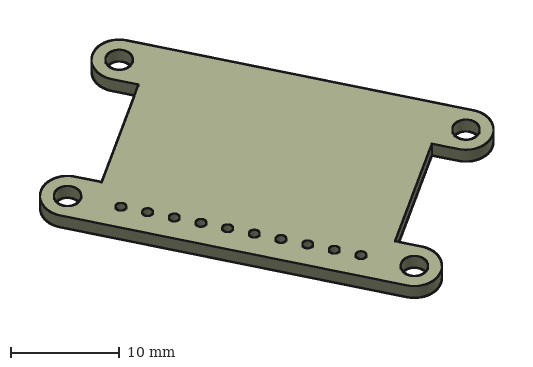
import cadquery as cq

length = 38.1
width = 22.85
thickness = 1.6

grid_pitch = length / 15

lug_radius = grid_pitch
lug_x = length / 2 - lug_radius
lug_y = width / 2 - lug_radius
mounting_hole_diameter = 2.5

panel_length = length - 4 * lug_radius

pin_count = 10
pin_hole_diameter = 1.0


def edge_strip(y):
    """Full-length strip with round ends, centred on the given Y."""
    return cq.Workplane("XY").center(0, y).slot2D(length, 2 * lug_radius).extrude(thickness)


def through_holes(points, diameter):
    """Cylinders that cut holes through the board at the given points."""
    return cq.Workplane("XY").pushPoints(points).circle(diameter / 2).extrude(thickness)


board = cq.Workplane("XY").rect(panel_length, width).extrude(thickness)
for strip_y in (-lug_y, lug_y):
    board = board.union(edge_strip(strip_y))
board = board.clean()

mounting_points = [(x, y) for x in (-lug_x, lug_x) for y in (-lug_y, lug_y)]
first_pin_x = -(pin_count - 1) * grid_pitch / 2
pin_points = [(first_pin_x + i * grid_pitch, -lug_y) for i in range(pin_count)]

board = board.cut(through_holes(mounting_points, mounting_hole_diameter))
result = board.cut(through_holes(pin_points, pin_hole_diameter))